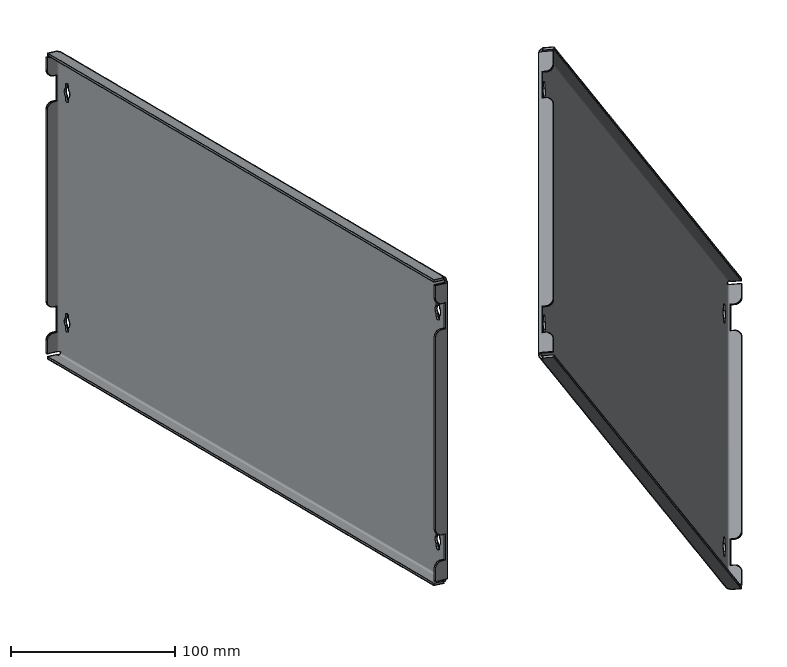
import cadquery as cq

LENGTH = 447.0
DEPTH = 10.0
HEIGHT = 200.0
THICKNESS = 1.5
BEND_RADIUS = 2.75

MIDDLE_TAB_HALF = 67.0
END_TAB_START = 84.0
TAB_CORNER_RADIUS = 4.5

SIDE_FLANGE_INSET = 3.0
TOP_FLANGE_INSET = 2.0
TOP_BEND_INSET = 3.0

HOLE_X = 212.8
HOLE_Z = 75.0
HOLE_DIAMETER = 6.3
SLOT_WIDTH = 3.5
SLOT_LENGTH = 12.0

BACK_Y = DEPTH / 2
FRONT_Y = -DEPTH / 2
BEND_Y = BACK_Y - BEND_RADIUS
SIDE_FLANGE_HALF = HEIGHT / 2 - SIDE_FLANGE_INSET


def channel(plane, width, length):
    """U-shaped sheet: a web at the back with a bent flange along both long edges."""
    half = width / 2
    inside_half = half - THICKNESS
    inside_radius = BEND_RADIUS - THICKNESS
    return (
        cq.Workplane(plane)
        .moveTo(-half, FRONT_Y)
        .lineTo(-half, BEND_Y)
        .radiusArc((-half + BEND_RADIUS, BACK_Y), BEND_RADIUS)
        .lineTo(half - BEND_RADIUS, BACK_Y)
        .radiusArc((half, BEND_Y), BEND_RADIUS)
        .lineTo(half, FRONT_Y)
        .lineTo(inside_half, FRONT_Y)
        .lineTo(inside_half, BEND_Y)
        .radiusArc((inside_half - inside_radius, BACK_Y - THICKNESS), -inside_radius)
        .lineTo(-inside_half + inside_radius, BACK_Y - THICKNESS)
        .radiusArc((-inside_half, BEND_Y), -inside_radius)
        .lineTo(-inside_half, FRONT_Y)
        .close()
        .extrude(length / 2, both=True)
    )


def slab(length, back, front, bottom, top):
    """Box centred on X that spans the given Y and Z limits."""
    return (
        cq.Workplane("XY")
        .box(length, back - front, top - bottom)
        .translate((0, (back + front) / 2, (top + bottom) / 2))
    )


def tab_envelope(bottom, top, rounded_edges):
    """Limits of one tab on both sides at once, with its free corners rounded."""
    tab = slab(LENGTH, BEND_Y, FRONT_Y, bottom, top)
    return tab.edges(rounded_edges).fillet(TAB_CORNER_RADIUS)


def panel_hole():
    """Cutter for one hole, centred on the origin."""
    round_hole = cq.Workplane("XZ").circle(HOLE_DIAMETER / 2).extrude(DEPTH, both=True)
    slot = cq.Workplane("XZ").slot2D(SLOT_LENGTH, SLOT_WIDTH, 90).extrude(DEPTH, both=True)
    return round_hole.union(slot)


side_limits = (
    slab(LENGTH, BACK_Y, BEND_Y, -SIDE_FLANGE_HALF, SIDE_FLANGE_HALF)
    .union(tab_envelope(-MIDDLE_TAB_HALF, MIDDLE_TAB_HALF, "|X and <Y"))
    .union(tab_envelope(END_TAB_START, SIDE_FLANGE_HALF, "(|X and <Y) and <Z"))
    .union(tab_envelope(-SIDE_FLANGE_HALF, -END_TAB_START, "(|X and <Y) and >Z"))
)
side_channel = channel("XY", LENGTH, 2 * SIDE_FLANGE_HALF).intersect(side_limits)

top_flange_length = LENGTH - 2 * TOP_FLANGE_INSET
top_bend_length = LENGTH - 2 * TOP_BEND_INSET
top_limits = (
    slab(top_flange_length, BEND_Y, FRONT_Y, -HEIGHT / 2, HEIGHT / 2)
    .union(slab(top_bend_length, BACK_Y, BEND_Y, -HEIGHT / 2, HEIGHT / 2))
)
top_bottom_channel = channel("ZY", HEIGHT, top_flange_length).intersect(top_limits)

result = side_channel.union(top_bottom_channel)

for x in (-HOLE_X, HOLE_X):
    for z in (-HOLE_Z, HOLE_Z):
        result = result.cut(panel_hole().translate((x, 0, z)))